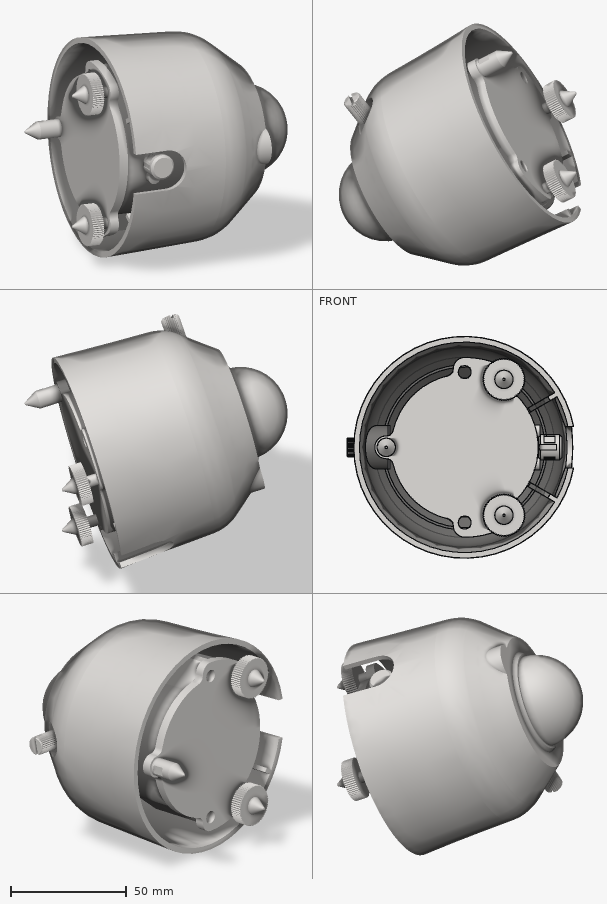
import cadquery as cq
import math

overrun = 1.1


mouth_radius = 48.0
shoulder_radius = 45.8
shoulder_y = 43.1
cone_radius = 41.3
cone_y = 54.8
crown_radius = 59.0 / 2
crown_y = 69.5

mouth_bore = 45.5
shoulder_bore = 43.2
cone_bore = 39.0
ledge_y = 58.9
ledge_outer = 35.8
ledge_inner = 34.7
crown_thickness = 2.6
ceiling_y = crown_y - crown_thickness
ceiling_bore = 28.2
neck_radius = 21.5

rib_angle = 30.0
rib_thickness = 2.0
rib_height = 3.4
rib_start = 25.8

notch_half_width = 8.9
notch_center_y = 15.1

level_post_radius = 8.1
level_post_x = 27.1

screw_y = 55.0
recess_radius = 7.2
recess_floor_x = -36.9
boss_radius = 9.5
boss_end_x = -33.2
boss_plate_end_x = -32.2

plate_front_y = -1.0
plate_back_y = 3.0
plate_radius = 31.8
foot_circle_radius = 33.9
foot_angle = 60.0
lug_radius = 4.9
lug_fillet = 3.2
plate_hole_diameter = 5.6
plate_hole_z = 32.5

body_radius = 30.1
body_top_y = 59.1
pad_top_y = 32.2
root_depth = 3.2
pad_outline = [(-11.1, 27.9), (1.1, 37.3), (5.4, 37.3), (5.4, 21.5), (-11.1, 21.5)]

ring_base_radius = 22.8
ring_top_radius = 21.5
ring_top_y = 71.2
dome_radius = 20.3
dome_top_y = 90.5

overall_length = 107.4
tip_y = dome_top_y - overall_length
tip_diameter = 1.0
cone_base_y = -11.0
foot_diameter = 8.0
stem_diameter = 5.0
wheel_diameter = 18.3
wheel_top_y = -5.7
wheel_teeth = 60
tooth_depth = 0.4
flat_depth = 0.48
flat_start_y = -2.1
flat_length = 5.2

knob_diameter = 8.3
knob_outer_x = -51.0
knob_inner_x = -38.9
knob_teeth = 30
knob_chamfer = 0.5
knob_slot_width = 1.3
knob_slot_depth = 1.5
knob_slot_tilt = 12.0
screw_diameter = 3.9

connector_diameter = 11.0
connector_start_x = 31.9
connector_end_x = 42.0
connector_chamfer = 1.0
connector_neck_diameter = 8.8
keyway_width = 2.3
keyway_depth = 0.6
keyway_end_x = 39.7
bayonet_start_x = 34.4
bayonet_length = 4.6
bayonet_width = 3.9
bayonet_depth = 0.6
bayonet_angles = [43.0, 163.0, 283.0]
flange_screw_diameter = 5.5
flange_screw_z = 7.0
flange_screw_end_x = 32.6


def cylinder_y(diameter, start_y, end_y, x=0.0, z=0.0):
    """Cylinder parallel to Y from start_y to end_y."""
    origin = cq.Vector(x, start_y, z)
    return cq.Workplane(cq.Solid.makeCylinder(diameter / 2, end_y - start_y, origin, cq.Vector(0, 1, 0)))


def cylinder_x(diameter, start_x, end_x, y, z=0.0):
    """Cylinder parallel to X from start_x to end_x."""
    origin = cq.Vector(start_x, y, z)
    return cq.Workplane(cq.Solid.makeCylinder(diameter / 2, end_x - start_x, origin, cq.Vector(1, 0, 0)))


def block(x_range, y_range, z_range):
    """Box spanning the given (low, high) ranges."""
    spans = (x_range, y_range, z_range)
    size = [high - low for low, high in spans]
    return cq.Workplane("XY").box(*size, centered=False).translate(tuple(low for low, high in spans))


def prism_y(outline, start_y, end_y):
    """Straight prism along Y over an outline of (x, z) points."""
    return cq.Workplane("XZ", origin=(0, start_y, 0)).polyline(outline).close().extrude(start_y - end_y)


def spin(profile):
    """Revolve a closed (radius, y) profile about the Y axis."""
    return profile.close().revolve(360, (0, 0, 0), (0, 1, 0))


def toothed_outline(diameter, teeth):
    """Points of a serrated circle with sharp teeth."""
    points = []
    for step in range(2 * teeth):
        radius = diameter / 2 - tooth_depth * (step % 2)
        angle = math.pi * step / teeth
        points.append((radius * math.cos(angle), radius * math.sin(angle)))
    return points


def shade_outside():
    return spin(
        cq.Workplane("XY")
        .moveTo(0, 0)
        .lineTo(mouth_radius, 0)
        .lineTo(shoulder_radius, shoulder_y)
        .tangentArcPoint((cone_radius, cone_y), relative=False)
        .lineTo(crown_radius, crown_y)
        .lineTo(0, crown_y)
    )


def shade_cavity(inset):
    """Inside space of the shade, with its radii reduced by the inset."""
    return spin(
        cq.Workplane("XY")
        .moveTo(0, 0)
        .lineTo(mouth_bore - inset, 0)
        .lineTo(shoulder_bore - inset, shoulder_y)
        .tangentArcPoint((cone_bore - inset, cone_y), relative=False)
        .lineTo(ledge_outer - inset, ledge_y)
        .lineTo(ledge_inner - inset, ledge_y)
        .lineTo(ceiling_bore - inset, ceiling_y)
        .lineTo(0, ceiling_y)
    )


def shade_ribs(outside):
    """Two lengthwise ribs that follow the inner wall on either side of the notch."""
    slabs = cq.Workplane("XY")
    for angle in (-rib_angle, rib_angle):
        half = rib_thickness / 2
        slab = block((rib_start, mouth_radius), (0, crown_y), (-half, half))
        slabs = slabs.add(slab.rotate((0, 0, 0), (0, 1, 0), angle))
    return slabs.combine().intersect(outside).cut(shade_cavity(rib_height))


def cable_notch():
    """Round-ended notch in the mouth on the +X side."""
    x_range = (cone_bore, mouth_radius + overrun)
    straight = block(x_range, (-overrun, notch_center_y), (-notch_half_width, notch_half_width))
    return straight.union(cylinder_x(2 * notch_half_width, *x_range, notch_center_y))


def screw_boss(outside):
    """Inner boss around the clamping screw, closed by a thin square plate."""
    boss = cylinder_x(2 * boss_radius, -mouth_radius, boss_end_x, screw_y)
    plate = block(
        (boss_end_x, boss_plate_end_x),
        (screw_y - boss_radius, screw_y + boss_radius),
        (-boss_radius, boss_radius),
    )
    return boss.union(plate).intersect(outside)


def screw_recess():
    """Flat-floored recess for the clamping screw, open towards the crown."""
    x_range = (-mouth_radius, recess_floor_x)
    straight = block(x_range, (screw_y, crown_y), (-recess_radius, recess_radius))
    return straight.union(cylinder_x(2 * recess_radius, *x_range, screw_y))


def make_shade():
    outside = shade_outside()
    post = cylinder_y(2 * level_post_radius, shoulder_y, crown_y, level_post_x)
    shade = outside.union(post).cut(shade_cavity(0))
    shade = shade.union(screw_boss(outside)).union(shade_ribs(outside))
    shade = shade.cut(cable_notch()).cut(screw_recess())
    shade = shade.cut(cylinder_y(2 * neck_radius, ceiling_y - overrun, crown_y))
    return shade.cut(cylinder_x(screw_diameter, -mouth_radius, boss_plate_end_x, screw_y))


def foot_position(angle):
    """(x, z) of a foot axis."""
    turn = math.radians(angle)
    return foot_circle_radius * math.cos(turn), foot_circle_radius * math.sin(turn)


def base_plate():
    """Round plate with a lug at the fixed foot and two wide ears, each from a hole to a screw foot."""
    plate = cylinder_y(2 * plate_radius, plate_front_y, plate_back_y)
    for angle in (180, foot_angle, -foot_angle, 90, -90):
        x, z = foot_position(angle)
        plate = plate.union(cylinder_y(2 * lug_radius, plate_front_y, plate_back_y, x, z))
    ear_disc = cylinder_y(2 * (foot_circle_radius + lug_radius), plate_front_y, plate_back_y)
    for side in (1, -1):
        foot_x, foot_z = foot_position(side * foot_angle)
        wedge = prism_y([(0, 0), (2 * foot_x, 2 * foot_z), (0, 2 * foot_z)], plate_front_y, plate_back_y)
        plate = plate.union(wedge.intersect(ear_disc))

    def is_inner_corner(edge):
        center = edge.Center()
        return math.hypot(center.x, center.z) < (plate_radius + foot_circle_radius) / 2

    return plate.edges("|Y").filter(is_inner_corner).fillet(lug_fillet)


def sensor_body():
    """Round body with a slanted pad behind each ear of the plate."""
    body = cylinder_y(2 * body_radius, plate_back_y, body_top_y)
    for side in (1, -1):
        outline = [(x, side * z) for x, z in pad_outline]
        body = body.union(prism_y(outline, plate_back_y, pad_top_y))
    return body


def plate_holes():
    holes = cq.Workplane("XY")
    for z in (plate_hole_z, -plate_hole_z):
        holes = holes.add(cylinder_y(plate_hole_diameter, plate_front_y - overrun, pad_top_y, 0, z))
    return holes.combine()


def dome():
    """Neck, chamfered seat ring and glass dome."""
    dome_center_y = dome_top_y - dome_radius
    dome_foot = math.sqrt(dome_radius**2 - (ring_top_y - dome_center_y) ** 2)
    diagonal = dome_radius * math.sqrt(0.5)
    return spin(
        cq.Workplane("XY")
        .moveTo(0, body_top_y)
        .lineTo(neck_radius, body_top_y)
        .lineTo(neck_radius, crown_y)
        .lineTo(ring_base_radius, crown_y)
        .lineTo(ring_top_radius, ring_top_y)
        .lineTo(dome_foot, ring_top_y)
        .threePointArc((diagonal, dome_center_y + diagonal), (0, dome_top_y))
    )


def foot_tip(x, z):
    height = cone_base_y - tip_y
    return cq.Workplane(
        cq.Solid.makeCone(
            foot_diameter / 2, tip_diameter / 2, height, cq.Vector(x, cone_base_y, z), cq.Vector(0, -1, 0)
        )
    )


def fixed_foot():
    x, z = foot_position(180)
    foot = cylinder_y(foot_diameter, cone_base_y, plate_front_y, x, z).union(foot_tip(x, z))
    outer_x = x - foot_diameter / 2
    flat = block(
        (outer_x, outer_x + flat_depth),
        (flat_start_y - flat_length, flat_start_y),
        (-foot_diameter / 2, foot_diameter / 2),
    )
    return foot.cut(flat)


def screw_foot(angle):
    """Levelling foot with a serrated thumb wheel."""
    x, z = foot_position(angle)
    wheel = prism_y(toothed_outline(wheel_diameter, wheel_teeth), cone_base_y, wheel_top_y)
    stem = cylinder_y(stem_diameter, wheel_top_y, plate_front_y, x, z)
    return wheel.translate((x, 0, z)).union(stem).union(foot_tip(x, z))


def clamp_screw():
    """Serrated knob with a screwdriver slot, on a thin screw that reaches the sensor body."""
    length = knob_inner_x - knob_outer_x
    knob = (
        cq.Workplane("YZ", origin=(knob_outer_x, screw_y, 0))
        .polyline(toothed_outline(knob_diameter, knob_teeth))
        .close()
        .extrude(length)
    )
    envelope = cylinder_x(knob_diameter, knob_outer_x, knob_inner_x, screw_y)
    envelope = envelope.faces("<X").chamfer(knob_chamfer)
    half = knob_slot_width / 2
    slot = block(
        (knob_outer_x, knob_outer_x + knob_slot_depth),
        (screw_y - half, screw_y + half),
        (-knob_diameter, knob_diameter),
    )
    slot = slot.rotate((0, screw_y, 0), (1, screw_y, 0), -knob_slot_tilt)
    screw = cylinder_x(screw_diameter, knob_inner_x, root_depth - body_radius, screw_y)
    return knob.intersect(envelope).cut(slot).union(screw)


def connector():
    """Cable connector on the +X side, with a keyway, bayonet recesses and two flange screws."""
    outer_y = notch_center_y - connector_diameter / 2
    root_x = body_radius - root_depth
    plug = cylinder_x(connector_diameter, connector_start_x, connector_end_x, notch_center_y)
    plug = plug.faces("<X or >X").chamfer(connector_chamfer)
    plug = plug.union(cylinder_x(connector_neck_diameter, root_x, connector_start_x, notch_center_y))
    keyway = block(
        (connector_start_x, keyway_end_x),
        (outer_y, outer_y + keyway_depth),
        (-keyway_width / 2, keyway_width / 2),
    )
    plug = plug.cut(keyway)
    for angle in bayonet_angles:
        recess = block(
            (bayonet_start_x, bayonet_start_x + bayonet_length),
            (outer_y, outer_y + bayonet_depth),
            (-bayonet_width / 2, bayonet_width / 2),
        )
        plug = plug.cut(recess.rotate((0, notch_center_y, 0), (1, notch_center_y, 0), -angle))
    for z in (flange_screw_z, -flange_screw_z):
        plug = plug.union(
            cylinder_x(flange_screw_diameter, root_x, flange_screw_end_x, notch_center_y, z)
        )
    return plug


def make_sensor():
    sensor = base_plate().union(sensor_body()).cut(plate_holes())
    sensor = sensor.union(dome()).union(fixed_foot())
    for angle in (foot_angle, -foot_angle):
        sensor = sensor.union(screw_foot(angle))
    return sensor.union(clamp_screw()).union(connector())


shade = make_shade()
sensor = make_sensor()

result = cq.Compound.makeCompound([shade.solids().val(), sensor.solids().val()])